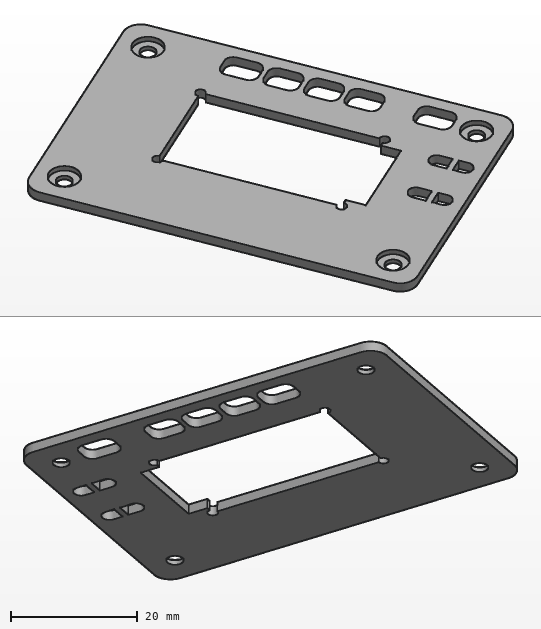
import cadquery as cq

plate_length = 66.2
plate_width = 45.4
plate_thickness = 1.7
plate_corner_radius = 3.0

screw_x = 28.0
screw_y = 17.55
screw_hole_diameter = 2.7
counterbore_diameter = 5.3
counterbore_depth = 0.9

window_left = -16.0
window_right = 15.35
window_bottom = -7.95
window_top = 10.05
relief_diameter = 1.7
notch_right = 18.8
notch_bottom = -6.3
notch_top = 8.5

narrow_button = 6.0
wide_button = 6.5
buttons = [
    (-12.3, wide_button),
    (-5.15, narrow_button),
    (1.8, narrow_button),
    (8.7, narrow_button),
    (20.65, wide_button),
]
button_y = 18.15
button_width = 4.65
button_corner_radius = 1.5

slot_left = 23.65
slot_right = 31.1
slot_width = 2.6
slot_rows = [8.35, -0.4]
web_left = 27.15
web_right = 28.2


def box_between(left, right, bottom, top):
    """Block through the full plate thickness between the given X and Y limits."""
    return (
        cq.Workplane("XY")
        .box(right - left, top - bottom, plate_thickness, centered=False)
        .translate((left, bottom, 0))
    )


def rounded_block(center_x, center_y, length, width, radius):
    """Full-thickness block with rounded vertical edges."""
    return (
        box_between(center_x - length / 2, center_x + length / 2,
                    center_y - width / 2, center_y + width / 2)
        .edges("|Z")
        .fillet(radius)
    )


def display_window():
    """Window, notch and corner reliefs as one cutting body."""
    corners = [(x, y) for x in (window_left, window_right) for y in (window_bottom, window_top)]
    reliefs = (
        cq.Workplane("XY")
        .pushPoints(corners)
        .circle(relief_diameter / 2)
        .extrude(plate_thickness)
    )
    window = box_between(window_left, window_right, window_bottom, window_top)
    notch = box_between(window_left, notch_right, notch_bottom, notch_top)
    return window.union(notch).union(reliefs)


def split_slot(center_y):
    """Round-ended slot with the web left standing."""
    slot_length = slot_right - slot_left
    slot = (
        cq.Workplane("XY")
        .center((slot_left + slot_right) / 2, center_y)
        .slot2D(slot_length, slot_width)
        .extrude(plate_thickness)
    )
    web = box_between(web_left, web_right, center_y - slot_width, center_y + slot_width)
    return slot.cut(web)


plate = rounded_block(0, 0, plate_length, plate_width, plate_corner_radius)

plate = (
    plate.faces(">Z")
    .workplane(origin=(0, 0, plate_thickness))
    .rect(2 * screw_x, 2 * screw_y, forConstruction=True)
    .vertices()
    .cboreHole(screw_hole_diameter, counterbore_diameter, counterbore_depth)
)

plate = plate.cut(display_window())

for button_x, button_length in buttons:
    plate = plate.cut(
        rounded_block(button_x, button_y, button_length, button_width, button_corner_radius)
    )

for slot_y in slot_rows:
    plate = plate.cut(split_slot(slot_y))

result = plate